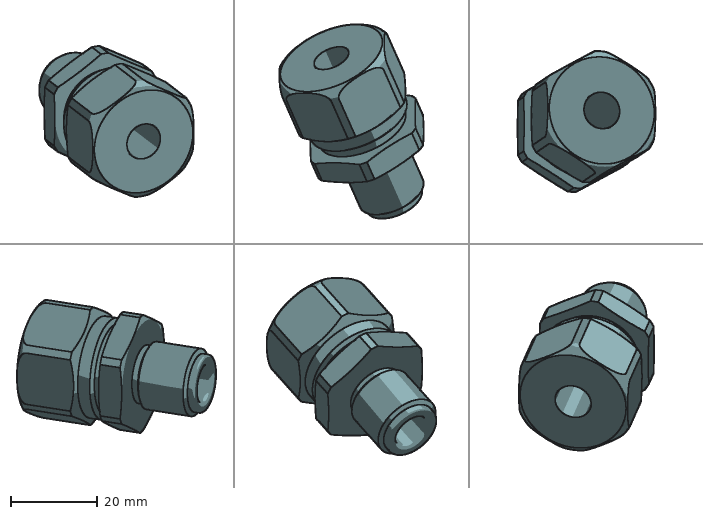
import cadquery as cq
import math

across_flats = 26.0
corner_diameter = 29.0
corner_radius = corner_diameter / 2

bore_radius = 8.6 / 2
spigot_radius = 13.8 / 2
thread_radius = 16.0 / 2
neck_radius = 21.5 / 2
shoulder_radius = 24.0 / 2

thread_start = 1.7
thread_end = 14.2
collar_start = 15.65
collar_end = 21.52
shoulder_start = 23.5
nut_start = 27.18
nut_end = 42.2

bore_rounding = 1.0
spigot_rounding = 0.5
thread_chamfer_length = 0.65
shoulder_chamfer_length = 0.65
collar_face_radius = 12.9
collar_slope = math.tan(math.radians(15))
nut_slope = math.tan(math.radians(30))
nut_rounding_length = 2.57
nut_end_radius = 12.65


def turned(profile):
    """Revolve a profile of (x, radius) points about the X axis."""
    return profile.close().revolve(360, (0, 0, 0), (1, 0, 0))


def hexagon(start, end):
    """Hexagonal prism along X with two corners pointing along Z."""
    circumscribed = across_flats / math.cos(math.pi / 6)
    return (
        cq.Workplane("YZ", origin=(start, 0, 0))
        .transformed(rotate=(0, 0, 90))
        .polygon(6, circumscribed)
        .extrude(end - start)
    )


def stem():
    """Threaded spigot, neck and shoulder as one turned core."""
    return turned(
        cq.Workplane("XY")
        .moveTo(0, 0)
        .lineTo(0, spigot_radius - spigot_rounding)
        .radiusArc((spigot_rounding, spigot_radius), spigot_rounding)
        .lineTo(thread_start, spigot_radius)
        .lineTo(thread_start + thread_chamfer_length, thread_radius)
        .lineTo(thread_end - thread_chamfer_length, thread_radius)
        .lineTo(thread_end, spigot_radius)
        .lineTo(collar_start, spigot_radius)
        .lineTo(collar_start, neck_radius)
        .lineTo(shoulder_start, neck_radius)
        .lineTo(shoulder_start + shoulder_chamfer_length, shoulder_radius)
        .lineTo(nut_start, shoulder_radius)
        .lineTo(nut_end, shoulder_radius)
        .lineTo(nut_end, 0)
    )


def collar():
    """Hexagonal collar with both faces chamfered."""
    chamfer_length = (corner_radius - collar_face_radius) * collar_slope
    envelope = turned(
        cq.Workplane("XY")
        .moveTo(collar_start, 0)
        .lineTo(collar_start, collar_face_radius)
        .lineTo(collar_start + chamfer_length, corner_radius)
        .lineTo(collar_end - chamfer_length, corner_radius)
        .lineTo(collar_end, collar_face_radius)
        .lineTo(collar_end, 0)
    )
    return hexagon(collar_start, collar_end).intersect(envelope)


def nut():
    """Union nut with a conical front and rounded rear corners."""
    cone_length = (corner_radius - shoulder_radius) * nut_slope
    rounding_start = nut_end - nut_rounding_length
    envelope = turned(
        cq.Workplane("XY")
        .moveTo(nut_start, 0)
        .lineTo(nut_start, shoulder_radius)
        .lineTo(nut_start + cone_length, corner_radius)
        .lineTo(rounding_start, corner_radius)
        .tangentArcPoint((nut_end, nut_end_radius), relative=False)
        .lineTo(nut_end, 0)
    )
    return hexagon(nut_start, nut_end).intersect(envelope)


def bore():
    """Through bore with a rounded mouth at the spigot end."""
    return turned(
        cq.Workplane("XY")
        .moveTo(0, 0)
        .lineTo(0, bore_radius + bore_rounding)
        .radiusArc((bore_rounding, bore_radius), -bore_rounding)
        .lineTo(nut_end, bore_radius)
        .lineTo(nut_end, 0)
    )


result = stem().union(collar()).union(nut()).cut(bore())